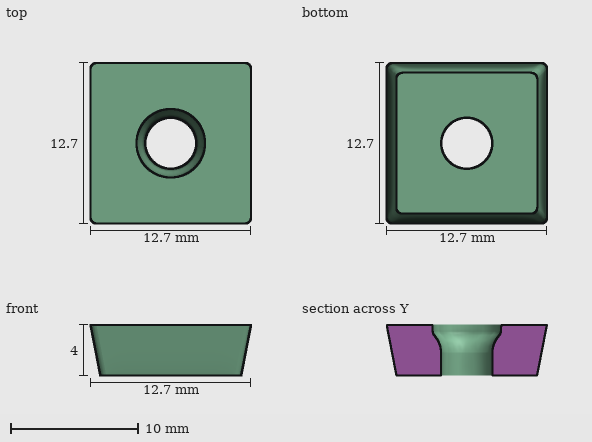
import cadquery as cq
import math

side_length = 12.65
thickness = 4.0
clearance_angle = 11.0
corner_radius = 0.5

throat_radius = 2.0
rim_radius = 2.7
rim_depth = 0.53
rim_taper = math.radians(4.0)
blend_radius = 0.5
seat_radius = 2.0

rim_bottom_radius = rim_radius - rim_depth * math.tan(rim_taper)
blend_center_radius = rim_bottom_radius - blend_radius * math.cos(rim_taper)
seat_center_radius = throat_radius + seat_radius
seat_angle = math.acos((seat_center_radius - blend_center_radius) / (blend_radius + seat_radius))


def make_body():
    """Square frustum standing on Z = 0 with constant-radius corners."""
    inset = thickness * math.tan(math.radians(clearance_angle))
    base_length = side_length - 2 * inset
    frustum = (
        cq.Workplane("XY")
        .rect(base_length, base_length)
        .workplane(offset=thickness)
        .rect(side_length, side_length)
        .loft(ruled=True)
    )
    return frustum.edges("not(|X or |Y)").fillet(corner_radius)


def point_on_arc(center, radius, angle):
    """Point in the (radius, height) half-plane at an angle measured from the radial direction."""
    return (center[0] + radius * math.cos(angle), center[1] + radius * math.sin(angle))


def make_screw_hole():
    """Revolved hole whose blend and seat arcs are tangent to each other and to the rim and throat."""
    blend_center_height = thickness - rim_depth + blend_radius * math.sin(rim_taper)
    seat_center_height = blend_center_height - (blend_radius + seat_radius) * math.sin(seat_angle)
    blend_center = (blend_center_radius, blend_center_height)
    seat_center = (seat_center_radius, seat_center_height)

    rim_end = point_on_arc(blend_center, blend_radius, -rim_taper)
    blend_middle = point_on_arc(blend_center, blend_radius, -(rim_taper + seat_angle) / 2)
    blend_end = point_on_arc(blend_center, blend_radius, -seat_angle)
    seat_middle = point_on_arc(seat_center, seat_radius, math.pi - seat_angle / 2)
    seat_end = point_on_arc(seat_center, seat_radius, math.pi)

    return (
        cq.Workplane("XZ")
        .moveTo(0, thickness)
        .lineTo(rim_radius, thickness)
        .lineTo(*rim_end)
        .threePointArc(blend_middle, blend_end)
        .threePointArc(seat_middle, seat_end)
        .lineTo(throat_radius, 0)
        .lineTo(0, 0)
        .close()
        .revolve(axisStart=(0, 0), axisEnd=(0, 1))
    )


result = make_body().cut(make_screw_hole())